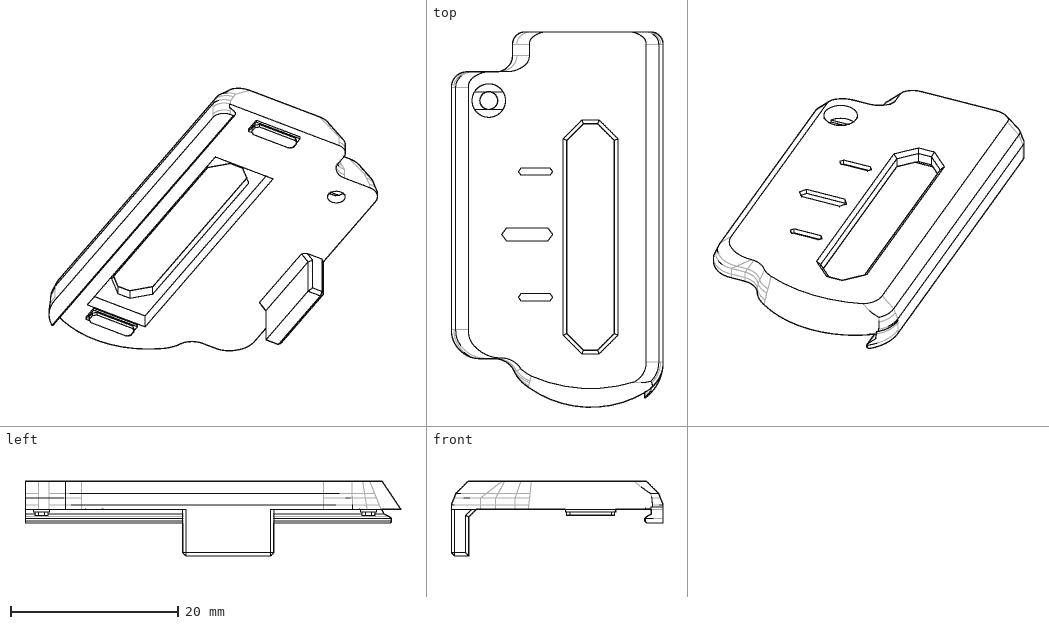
import cadquery as cq
import math

PLATE_WIDTH = 25.32
PLATE_LENGTH = 44.87
PLATE_THICKNESS = 3.40

SIDE_INSET = 2.03
SIDE_VERTICAL_TOP = 0.55
SIDE_LEAN_TOP = 1.90
SIDE_LEAN_INSET = SIDE_INSET - (PLATE_THICKNESS - SIDE_LEAN_TOP)
NOTCH_VERTICAL_TOP = PLATE_THICKNESS - SIDE_INSET

CORNER_RADIUS = 1.9
BACK_RADIUS = 1.55
SLOPE_STRETCH = math.sqrt(2)
QUARTER_MIDDLE = math.sqrt(0.5)
SHOULDER_Y = 40.1
NOTCH_X = 7.30
NOTCH_RADIUS = 1.95
LOBE_Y = 5.8
LOBE_RADIUS = 3.5
TIP_X = 16.65
TIP_TOP_Y = 2.25
NOSE_ALLOWANCE = 1.0

NOSE_CORNER_Y = 5.4
NOSE_END_X = (23.2, 21.4)
NOSE_END_Y = (1.85, 2.85)

HIP_END = ((9.21, 2.40), (9.56, 3.75))
HIP_MIDDLE = ((8.30, 3.15), (8.85, 4.17))
WAIST_END = ((7.62, 4.06), (8.33, 4.60))
WAIST_MIDDLE = ((6.74, 5.28), (7.60, 5.38))
WAIST_START = ((5.30, LOBE_Y), (6.40, LOBE_Y + 0.08))
LOBE_FOOT = ((LOBE_RADIUS, LOBE_Y), (6.10, LOBE_Y + 0.10))

RAIL_ROOT = 0.3
RAIL_DEPTH = 1.64
RAIL_THICKNESS = 1.45
RAIL_NECK_HEIGHT = 0.55
HOOK_REACH = 0.77
HOOK_LEAD = 0.27
HOOK_SLOPE = 0.5
RAIL_LIMIT_MARGIN = 0.3
RAIL_END_SLOPE_DEPTH = 1.10
RAIL_END_REACH = 0.70

TAB_DEPTH = 5.57
TAB_THICKNESS = 2.1
TAB_Y_START = 15.2
TAB_Y_END = 26.1
TAB_CHAMFER = 0.4
TAB_GUSSET = 0.9

WINDOW_X_START = 13.36
WINDOW_X_END = 19.92
WINDOW_Y_START = 6.39
WINDOW_Y_END = 34.33
WINDOW_CENTER_X = (WINDOW_X_START + WINDOW_X_END) / 2
WINDOW_CENTER_Y = (WINDOW_Y_START + WINDOW_Y_END) / 2
WINDOW_CORNER_CUT = 2.25
WINDOW_CHAMFER = 0.46
CHAMFER_ANGLE = 45

HOLE_X = 4.48
HOLE_Y = 36.65
HOLE_DIAMETER = 2.1
HEAD_DIAMETER = 4.0
HEAD_DEPTH = 1.9
BRIDGE_DEPTH = 0.3

MARK_X_END = 12.12
MARK_CENTER_Y = 20.66
MARK_PITCH = 7.5
LONG_MARK_LENGTH = 6.1
LONG_MARK_WIDTH = 1.55
SHORT_MARK_LENGTH = 4.1
SHORT_MARK_WIDTH = 0.85
MARK_TIP_RATIO = 0.37
MARK_DEPTH = 0.6

WINDOW_WALL = 1.65
RECESS_MARGIN_X = 0.7
RECESS_MARGIN_Y = 1.4

PAD_CENTERS_Y = (3.9, 42.95)
PAD_BASE_LENGTH = 6.04
PAD_BASE_WIDTH = 1.9
PAD_BASE_HEIGHT = 0.3
PAD_TIP_LENGTH = 5.76
PAD_TIP_WIDTH = 1.55
PAD_HEIGHT = 0.7
PAD_CORNER_CHAMFER = 0.4


def blend(start, end, fraction):
    return start + (end - start) * fraction


def side_inset(z):
    """How far the long sides stand in from the plate width at height z."""
    if z <= SIDE_VERTICAL_TOP:
        return 0
    if z <= SIDE_LEAN_TOP:
        return SIDE_LEAN_INSET * (z - SIDE_VERTICAL_TOP) / (SIDE_LEAN_TOP - SIDE_VERTICAL_TOP)
    return SIDE_INSET - (PLATE_THICKNESS - z)


def notch_inset(z):
    """How far the notch and waist have moved in at height z."""
    return max(0, z - NOTCH_VERTICAL_TOP)


def quarter_round(path, start, corner, end):
    """Add an elliptical quarter from start to end, tangent to both legs of the corner."""
    middle = tuple(
        s + e - c + (2 * c - s - e) * QUARTER_MIDDLE for s, c, e in zip(start, corner, end)
    )
    leg_in = tuple(c - s for s, c in zip(start, corner))
    leg_out = tuple(e - c for c, e in zip(corner, end))
    return path.spline([middle, end], tangents=[leg_in, leg_out], includeCurrent=True)


def nose_curve_points(rise):
    """Start, tip and end of the nose curve; rise runs from 0 at the underside to 1 at the top."""
    start = (blend(HIP_END[0][0], HIP_END[1][0], rise), blend(HIP_END[0][1], HIP_END[1][1], rise))
    tip_y = TIP_TOP_Y * rise
    end = (2 * TIP_X - start[0], start[1])
    return start, (TIP_X, tip_y), end


def plan_wire(z):
    """Closed plan outline of the plate at height z, left long where the nose is trimmed."""
    rise = z / PLATE_THICKNESS
    side = side_inset(z) / SIDE_INSET
    waist = notch_inset(z) / SIDE_INSET
    side_stretch = blend(1, SLOPE_STRETCH, side)
    notch_stretch = blend(1, SLOPE_STRETCH, waist)

    left = side_inset(z)
    right = PLATE_WIDTH - left
    notch = NOTCH_X + notch_inset(z)

    def waist_point(bottom, top):
        return (blend(bottom[0], top[0], waist), blend(bottom[1], top[1], rise))

    shoulder_start = (left, SHOULDER_Y - CORNER_RADIUS)
    shoulder_end = (left + CORNER_RADIUS * side_stretch, SHOULDER_Y)
    notch_start = (notch - NOTCH_RADIUS * notch_stretch, SHOULDER_Y)
    notch_end = (notch, SHOULDER_Y + NOTCH_RADIUS)
    back_start = (notch, PLATE_LENGTH - BACK_RADIUS)
    back_end = (notch + BACK_RADIUS * notch_stretch, PLATE_LENGTH)
    far_start = (right - BACK_RADIUS * side_stretch, PLATE_LENGTH)
    far_end = (right, PLATE_LENGTH - BACK_RADIUS)
    nose_start = (right, NOSE_CORNER_Y)
    nose_end = (blend(*NOSE_END_X, side), blend(*NOSE_END_Y, rise))
    hip_end = nose_curve_points(rise)[0]
    lobe_end = (left, LOBE_Y + LOBE_RADIUS)
    lobe_start = waist_point(*LOBE_FOOT)

    path = cq.Workplane("XY", origin=(0, 0, z)).moveTo(*shoulder_start)
    path = quarter_round(path, shoulder_start, (left, SHOULDER_Y), shoulder_end)
    path = path.lineTo(*notch_start)
    path = quarter_round(path, notch_start, (notch, SHOULDER_Y), notch_end)
    path = path.lineTo(*back_start)
    path = quarter_round(path, back_start, (notch, PLATE_LENGTH), back_end)
    path = path.lineTo(*far_start)
    path = quarter_round(path, far_start, (right, PLATE_LENGTH), far_end)
    path = path.lineTo(*nose_start)
    path = path.tangentArcPoint(nose_end, relative=False)
    path = path.lineTo(nose_end[0], -NOSE_ALLOWANCE).lineTo(hip_end[0], -NOSE_ALLOWANCE)
    path = path.lineTo(*hip_end)
    path = path.threePointArc(waist_point(*HIP_MIDDLE), waist_point(*WAIST_END))
    path = path.threePointArc(waist_point(*WAIST_MIDDLE), waist_point(*WAIST_START))
    path = path.lineTo(*lobe_start)
    path = quarter_round(path, lobe_start, (left, lobe_start[1]), lobe_end)
    return path.close().val()


def nose_trim_wire(rise):
    """Outline of the waste beyond the nose curve."""
    start, tip, end = nose_curve_points(rise)
    clear_y = -2 * NOSE_ALLOWANCE
    path = cq.Workplane("XY", origin=(0, 0, rise * PLATE_THICKNESS)).moveTo(*start)
    path = path.threePointArc(tip, end).lineTo(PLATE_WIDTH, clear_y)
    path = path.lineTo(start[0] - NOSE_ALLOWANCE, clear_y)
    return path.close().val()


def make_plate():
    levels = (0, SIDE_VERTICAL_TOP, NOTCH_VERTICAL_TOP, SIDE_LEAN_TOP, PLATE_THICKNESS)
    wires = [plan_wire(z) for z in levels]
    blank = cq.Workplane(obj=cq.Solid.makeLoft(wires, True)).clean()
    trim_wires = [nose_trim_wire(0), nose_trim_wire(1)]
    return blank.cut(cq.Workplane(obj=cq.Solid.makeLoft(trim_wires, True)))


def rail_limit_wire(z, reach):
    """Plan limits of the rail; reach moves its nose end out in -Y."""
    inner = PLATE_WIDTH - RAIL_THICKNESS - HOOK_REACH - RAIL_LIMIT_MARGIN
    nose_y = NOSE_END_Y[0] - reach
    far_start = (PLATE_WIDTH - BACK_RADIUS, PLATE_LENGTH)
    far_end = (PLATE_WIDTH, PLATE_LENGTH - BACK_RADIUS)

    path = cq.Workplane("XY", origin=(0, 0, z)).moveTo(inner, nose_y)
    path = path.lineTo(inner, PLATE_LENGTH).lineTo(*far_start)
    path = quarter_round(path, far_start, (PLATE_WIDTH, PLATE_LENGTH), far_end)
    path = path.lineTo(PLATE_WIDTH, NOSE_CORNER_Y)
    path = path.tangentArcPoint((NOSE_END_X[0], nose_y), relative=False)
    return path.close().val()


def make_rail():
    inner = PLATE_WIDTH - RAIL_THICKNESS
    hook = inner - HOOK_REACH
    profile = [
        (PLATE_WIDTH, RAIL_ROOT),
        (inner, RAIL_ROOT),
        (inner, -RAIL_NECK_HEIGHT),
        (hook + HOOK_LEAD, -RAIL_NECK_HEIGHT - HOOK_LEAD),
        (hook, -RAIL_NECK_HEIGHT - HOOK_SLOPE),
        (hook, -RAIL_DEPTH + HOOK_LEAD),
        (hook + HOOK_LEAD, -RAIL_DEPTH),
        (PLATE_WIDTH, -RAIL_DEPTH),
    ]
    bar = cq.Workplane("XZ").polyline(profile).close().extrude(-PLATE_LENGTH)
    limits = [
        rail_limit_wire(RAIL_ROOT, 0),
        rail_limit_wire(0, 0),
        rail_limit_wire(-RAIL_END_SLOPE_DEPTH, RAIL_END_REACH),
        rail_limit_wire(-RAIL_DEPTH, RAIL_END_REACH),
    ]
    return bar.intersect(cq.Workplane(obj=cq.Solid.makeLoft(limits, True)))


def make_tab():
    """Tab with a 45 degree gusset at its root, chamfered at both ends and at its outer foot."""
    profile = [
        (0, 0),
        (0, -TAB_DEPTH),
        (TAB_THICKNESS, -TAB_DEPTH),
        (TAB_THICKNESS, -TAB_GUSSET),
        (TAB_THICKNESS + TAB_GUSSET, 0),
    ]
    tab = cq.Workplane("XZ", origin=(0, TAB_Y_START, 0)).polyline(profile).close()
    tab = tab.extrude(TAB_Y_START - TAB_Y_END)
    outer_foot = tab.edges("<X and <Z")
    end_edges = tab.faces("<Y or >Y").edges("not >Z")
    return outer_foot.add(end_edges).chamfer(TAB_CHAMFER)


def make_pad(center_y):
    base = cq.Workplane("XY").center(WINDOW_CENTER_X, center_y)
    tip = base.rect(PAD_TIP_LENGTH, PAD_TIP_WIDTH).extrude(-PAD_HEIGHT)
    tip = tip.edges("|Z").chamfer(PAD_CORNER_CHAMFER)
    return base.rect(PAD_BASE_LENGTH, PAD_BASE_WIDTH).extrude(-PAD_BASE_HEIGHT).union(tip)


def window_cutter():
    """Octagonal opening whose top edge is chamfered outward."""
    width = WINDOW_X_END - WINDOW_X_START
    length = WINDOW_Y_END - WINDOW_Y_START
    blank = cq.Workplane("XY").center(WINDOW_CENTER_X, WINDOW_CENTER_Y).rect(width, length)
    blank = blank.extrude(PLATE_THICKNESS).edges("|Z").chamfer(WINDOW_CORNER_CUT)
    outline = blank.faces(">Z").wires().val()
    mouth_plane = cq.Workplane("XY", origin=(0, 0, PLATE_THICKNESS)).add(outline).toPending()
    mouth = mouth_plane.extrude(-WINDOW_CHAMFER, taper=CHAMFER_ANGLE)
    throat = mouth.faces("<Z").wires().toPending().extrude(-PLATE_THICKNESS, combine=False)
    return mouth.union(throat)


def recess_cutter():
    width = WINDOW_X_END - WINDOW_X_START + 2 * RECESS_MARGIN_X
    length = WINDOW_Y_END - WINDOW_Y_START + 2 * RECESS_MARGIN_Y
    base = cq.Workplane("XY").center(WINDOW_CENTER_X, WINDOW_CENTER_Y)
    return base.rect(width, length).extrude(PLATE_THICKNESS - WINDOW_WALL)


def screw_hole_cutter():
    """Through hole and head recess, with a slot as wide as the hole across the recess floor."""
    floor_z = PLATE_THICKNESS - HEAD_DEPTH
    axis = cq.Workplane("XY").center(HOLE_X, HOLE_Y)
    hole = axis.circle(HOLE_DIAMETER / 2).extrude(PLATE_THICKNESS)
    head = axis.workplane(offset=floor_z).circle(HEAD_DIAMETER / 2).extrude(HEAD_DEPTH)
    slot_floor = axis.workplane(offset=floor_z - BRIDGE_DEPTH)
    slot = slot_floor.rect(HEAD_DIAMETER, HOLE_DIAMETER).extrude(BRIDGE_DEPTH)
    slot = slot.intersect(slot_floor.circle(HEAD_DIAMETER / 2).extrude(BRIDGE_DEPTH))
    return hole.union(head).union(slot)


def mark_cutter(center_y, length, width):
    """Shallow groove with pointed ends, finishing at the common +X end of the marks."""
    tip = width * MARK_TIP_RATIO
    start = MARK_X_END - length
    half = width / 2
    outline = [
        (start, 0),
        (start + tip, half),
        (MARK_X_END - tip, half),
        (MARK_X_END, 0),
        (MARK_X_END - tip, -half),
        (start + tip, -half),
    ]
    floor = cq.Workplane("XY", origin=(0, center_y, PLATE_THICKNESS - MARK_DEPTH))
    return floor.polyline(outline).close().extrude(MARK_DEPTH)


result = make_plate().union(make_rail()).union(make_tab())
for pad_y in PAD_CENTERS_Y:
    result = result.union(make_pad(pad_y))

result = result.cut(recess_cutter()).cut(window_cutter()).cut(screw_hole_cutter())
result = result.cut(mark_cutter(MARK_CENTER_Y, LONG_MARK_LENGTH, LONG_MARK_WIDTH))
for offset in (-MARK_PITCH, MARK_PITCH):
    result = result.cut(mark_cutter(MARK_CENTER_Y + offset, SHORT_MARK_LENGTH, SHORT_MARK_WIDTH))